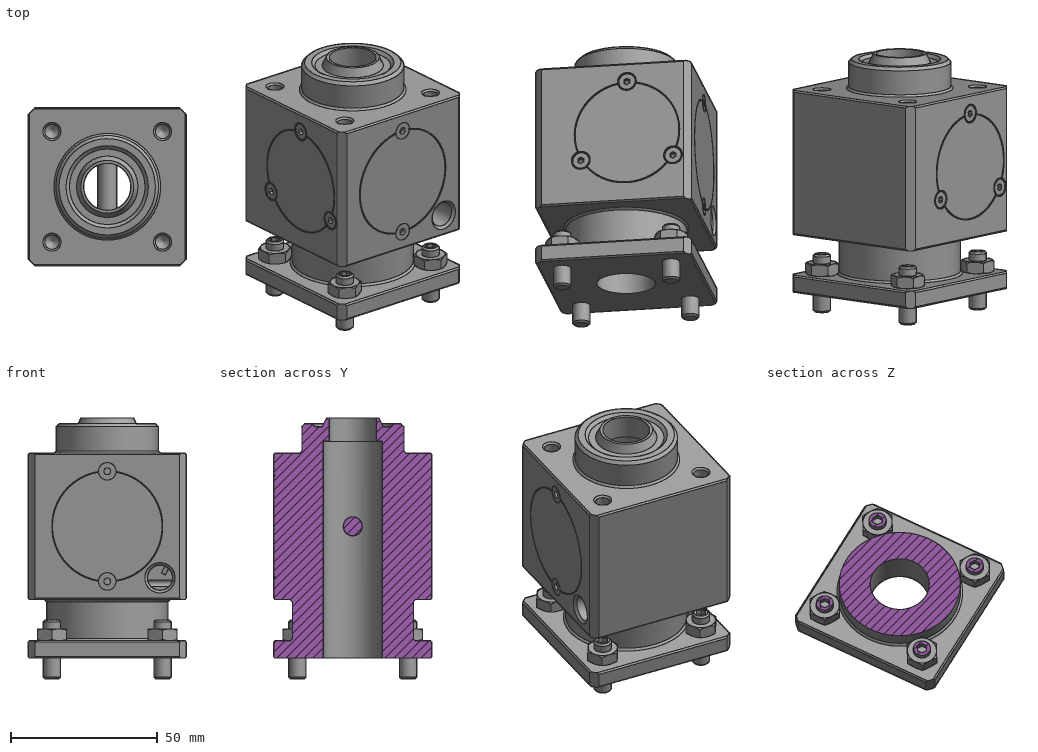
import cadquery as cq
import math

side = 54.0
half_side = side / 2
edge_chamfer = 0.5
corner_chamfer = 2.4

total_height = 89.0
plate_bottom = 7.0
plate_top = 13.0
block_bottom = 27.0
block_top = 77.0
block_middle = (block_bottom + block_top) / 2
collar_top = 87.0

column_diameter = 41.5
column_flare = 0.7

collar_diameter = 35.0
collar_chamfer = 1.1
collar_flare = 0.7
ring_outer_diameter = 28.0
ring_inner_diameter = 25.7
ring_depth = 1.1
nozzle_base_diameter = 20.9
nozzle_top_diameter = 18.0
bore_diameter = 16.0
bore_step_z = 81.0
chamber_diameter = 20.0
crossbar_diameter = 6.5
crossbar_length = chamber_diameter + 1.8

fastener_offset = 18.9
stud_diameter = 6.0
stud_top = 20.0
stud_chamfer = 0.6
stud_socket_flats = 3.0
stud_socket_depth = 3.0
nut_flats = 10.0
nut_height = 4.0
nut_rim_drop = 0.4
tapped_hole_diameter = 4.9
tapped_hole_depth = 12.0
tapped_hole_chamfer = 0.6
drill_point_angle = 118.0

cover_gap = 0.3
cover_gap_depth = 0.45
front_cover_diameter = 37.9
front_screw_radius = 18.8
front_screw_diameter = 6.0
front_screw_recess = 0.1
front_socket_diameter = 2.3
front_socket_depth = 1.5
side_cover_diameter = 36.5
side_cover_y = -5.0
side_screw_radius = 18.4
side_screw_diameter = 5.7
side_screw_rim_diameter = 6.5
side_socket_flats = 2.0
side_socket_depth = 1.5

port_x = 18.0
port_z = 34.4
port_diameter = 8.5
port_chamfer = 0.9
port_depth = 20.0
cross_groove_diameter = 2.3
cross_groove_z = 32.6
slanted_groove_diameter = 1.5
slanted_groove_angle = 62.0
slanted_groove_start = (19.1, 35.8)


def solid_of_revolution(profile):
    """Revolve (radius, z) points about the Z axis."""
    return cq.Workplane("XZ").polyline(profile).close().revolve(360, (0, 0), (0, 1))


def cylinder(diameter, bottom, top):
    return cq.Workplane("XY").workplane(offset=bottom).circle(diameter / 2).extrude(top - bottom)


def hexagon(flats, bottom, top):
    """Hexagonal prism with its corners pointing along Y."""
    outline = cq.Workplane("XY").workplane(offset=bottom).polygon(6, flats / math.cos(math.pi / 6))
    return outline.extrude(top - bottom).rotate((0, 0, 0), (0, 0, 1), 30)


def chamfered_square(bottom, top):
    box = cq.Workplane("XY").box(side, side, top - bottom, centered=(True, True, False))
    box = box.faces("<Z or >Z").edges().chamfer(edge_chamfer)
    corner_keeper = cq.Workplane("XY").rect(side, side).extrude(top - bottom)
    corner_keeper = corner_keeper.edges("|Z").chamfer(corner_chamfer)
    return box.intersect(corner_keeper).translate((0, 0, bottom))


def at_fastener_corners(shape):
    copies = cq.Workplane("XY")
    for x in (-fastener_offset, fastener_offset):
        for y in (-fastener_offset, fastener_offset):
            copies = copies.add(shape.translate((x, y, 0)))
    return copies.combine()


def onto_front(tool, x, z):
    """Move a tool that cuts down from Z = 0 onto the -Y face."""
    return tool.rotate((0, 0, 0), (1, 0, 0), 90).translate((x, -half_side, z))


def onto_left(tool, y, z):
    """Move a tool that cuts down from Z = 0 onto the -X face."""
    upright = tool.rotate((0, 0, 0), (0, 0, 1), -90).rotate((0, 0, 0), (0, 1, 0), -90)
    return upright.translate((-half_side, y, z))


def gap_ring(diameter):
    inner = cylinder(diameter - 2 * cover_gap, -cover_gap_depth, 0)
    return cylinder(diameter, -cover_gap_depth, 0).cut(inner)


def make_column():
    radius = column_diameter / 2
    return solid_of_revolution([
        (0, plate_top),
        (radius + column_flare, plate_top),
        (radius, plate_top + column_flare),
        (radius, block_bottom - column_flare),
        (radius + column_flare, block_bottom),
        (0, block_bottom),
    ])


def make_collar():
    radius = collar_diameter / 2
    ring_floor = collar_top - ring_depth
    return solid_of_revolution([
        (0, block_top),
        (radius + collar_flare, block_top),
        (radius, block_top + collar_flare),
        (radius, collar_top - collar_chamfer),
        (radius - collar_chamfer, collar_top),
        (ring_outer_diameter / 2, collar_top),
        (ring_inner_diameter / 2, ring_floor),
        (nozzle_base_diameter / 2, ring_floor),
        (nozzle_top_diameter / 2, total_height),
        (0, total_height),
    ])


def make_stud():
    stud = cylinder(stud_diameter, 0, stud_top).faces("<Z or >Z").chamfer(stud_chamfer)
    return stud.cut(hexagon(stud_socket_flats, stud_top - stud_socket_depth, stud_top))


def make_nut():
    nut_top = plate_top + nut_height
    rim_radius = nut_flats / 2
    corner_radius = rim_radius / math.cos(math.pi / 6)
    rounding = solid_of_revolution([
        (0, plate_top),
        (rim_radius, plate_top),
        (corner_radius, plate_top + nut_rim_drop),
        (corner_radius, nut_top - nut_rim_drop),
        (rim_radius, nut_top),
        (0, nut_top),
    ])
    return hexagon(nut_flats, plate_top, nut_top).intersect(rounding)


def make_tapped_hole():
    radius = tapped_hole_diameter / 2
    floor = block_top - tapped_hole_depth
    tip = radius / math.tan(math.radians(drill_point_angle / 2))
    return solid_of_revolution([
        (0, floor - tip),
        (radius, floor),
        (radius, block_top - tapped_hole_chamfer),
        (radius + tapped_hole_chamfer, block_top),
        (0, block_top),
    ])


def cut_front_cover(body):
    screw = cylinder(front_screw_diameter, -cover_gap_depth, 0)
    gap = gap_ring(front_cover_diameter)
    recess = cylinder(front_screw_diameter, -front_screw_recess, 0)
    socket = cylinder(front_socket_diameter, -front_socket_depth, 0)
    cutters = []
    for z in (-front_screw_radius, front_screw_radius):
        gap = gap.cut(screw.translate((0, z, 0)))
        cutters.append(recess.union(socket).translate((0, z, 0)))
    for cutter in [gap] + cutters:
        body = body.cut(onto_front(cutter, 0, block_middle))
    return body


def cut_side_cover(body):
    rim_radius = side_screw_rim_diameter / 2
    head_radius = side_screw_diameter / 2
    rim_groove = solid_of_revolution([
        (head_radius, 0),
        (head_radius, head_radius - rim_radius),
        (rim_radius, 0),
    ])
    corner_radius = side_socket_flats / 2 / math.cos(math.pi / 6)
    socket_bottom = -side_socket_depth - corner_radius
    pointed_pin = solid_of_revolution([
        (0, socket_bottom),
        (corner_radius, -side_socket_depth),
        (corner_radius, 0),
        (0, 0),
    ])
    socket = hexagon(side_socket_flats, socket_bottom, 0).intersect(pointed_pin)
    screw = cylinder(side_screw_rim_diameter, -cover_gap_depth, 0)
    gap = gap_ring(side_cover_diameter)
    cutters = []
    for angle in (90, 210, 330):
        across = side_screw_radius * math.cos(math.radians(angle))
        up = side_screw_radius * math.sin(math.radians(angle))
        gap = gap.cut(screw.translate((across, up, 0)))
        for tool in (rim_groove, socket):
            cutters.append(tool.translate((across, up, 0)))
    for cutter in [gap] + cutters:
        body = body.cut(onto_left(cutter, side_cover_y, block_middle))
    return body


def cut_port(body):
    radius = port_diameter / 2
    port = solid_of_revolution([
        (0, -port_depth),
        (radius, -port_depth),
        (radius, -port_chamfer),
        (radius + port_chamfer, 0),
        (0, 0),
    ])
    body = body.cut(onto_front(port, port_x, port_z))

    floor_y = port_depth - half_side
    cross_groove = (
        cq.Workplane("YZ", origin=(port_x - radius, floor_y, cross_groove_z))
        .circle(cross_groove_diameter / 2)
        .extrude(port_diameter)
    )
    tilt = math.radians(slanted_groove_angle)
    start_x, start_z = slanted_groove_start
    slanted_groove = cq.Workplane(cq.Plane(
        origin=(start_x, floor_y, start_z),
        xDir=(0, 1, 0),
        normal=(math.cos(tilt), 0, math.sin(tilt)),
    )).circle(slanted_groove_diameter / 2).extrude(radius)
    return body.cut(cross_groove).cut(slanted_groove)


result = chamfered_square(plate_bottom, plate_top)
result = result.union(make_column())
result = result.union(chamfered_square(block_bottom, block_top))
result = result.union(make_collar())

result = result.cut(cylinder(bore_diameter, bore_step_z, total_height))
result = result.cut(cylinder(chamber_diameter, plate_bottom, bore_step_z))
crossbar = cq.Workplane("XZ", origin=(0, crossbar_length / 2, block_middle))
result = result.union(crossbar.circle(crossbar_diameter / 2).extrude(crossbar_length))

result = result.union(at_fastener_corners(make_stud()))
result = result.union(at_fastener_corners(make_nut()))
result = result.cut(at_fastener_corners(make_tapped_hole()))

result = cut_front_cover(result)
result = cut_side_cover(result)
result = cut_port(result)